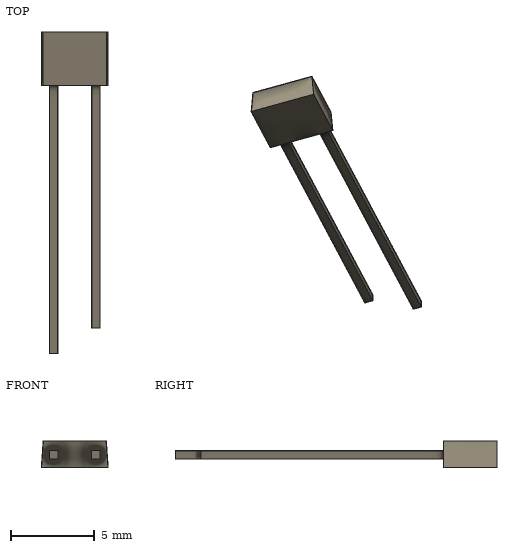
import cadquery as cq

body_bottom_width = 4.026
body_top_width = 3.8
body_length = 3.23
body_height = 1.6

lead_size = 0.51
lead_pitch = 2.54
lead_center_height = 0.76
long_lead_length = 16.14
short_lead_length = 14.6


def make_body():
    """Trapezoidal prism resting on Z = 0, with its front face on Y = 0."""
    profile = [
        (-body_bottom_width / 2, 0),
        (body_bottom_width / 2, 0),
        (body_top_width / 2, body_height),
        (-body_top_width / 2, body_height),
    ]
    return cq.Workplane("XZ").polyline(profile).close().extrude(-body_length)


def make_lead(center_x, length):
    """Square wire running from the front face of the body toward -Y."""
    return (
        cq.Workplane("XZ")
        .center(center_x, lead_center_height)
        .rect(lead_size, lead_size)
        .extrude(length)
    )


long_lead = make_lead(-lead_pitch / 2, long_lead_length)
short_lead = make_lead(lead_pitch / 2, short_lead_length)

result = make_body().union(long_lead).union(short_lead)